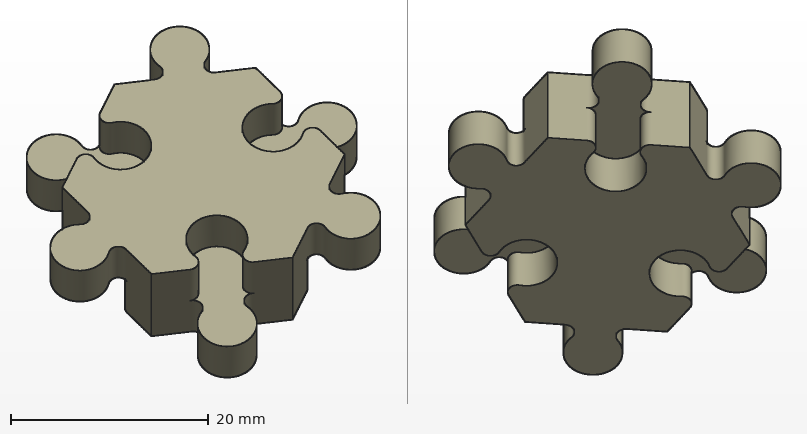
import cadquery as cq
import math

overall_length = 38.0
overall_height = 10.0
edge_distance = 12.5
knob_radius = 3.0
socket_radius = 3.1
neck_radius = 1.0

layer_height = overall_height / 2
head_depth = overall_length / 2 - knob_radius - edge_distance
hexagon_diameter = 2 * edge_distance / math.cos(math.radians(30))

upper_knob_angles = (30, 150, 270)
lower_knob_angles = (90, 210, 330)


def keyhole(radius, direction):
    """Round head on a flared neck, along X from a hexagon side at x = edge_distance.

    direction is 1 for a head outside the hexagon and -1 for one inside it.
    """
    centre_spacing = radius + neck_radius
    neck_offset = math.sqrt(centre_spacing**2 - (head_depth - neck_radius) ** 2)
    head_share = radius / centre_spacing
    meet_depth = head_depth + head_share * (neck_radius - head_depth)
    meet_offset = head_share * neck_offset
    head_angle = math.pi - math.atan2(head_depth - neck_radius, neck_offset)
    side_angle = 3 * math.pi / 2
    middle_angle = (head_angle + side_angle) / 2
    middle_depth = neck_radius + neck_radius * math.sin(middle_angle)
    middle_offset = neck_offset + neck_radius * math.cos(middle_angle)

    def point(depth, offset):
        return (edge_distance + direction * depth, offset)

    return (
        cq.Workplane("XY")
        .moveTo(*point(0, neck_offset))
        .threePointArc(point(middle_depth, middle_offset), point(meet_depth, meet_offset))
        .threePointArc(point(head_depth + radius, 0), point(meet_depth, -meet_offset))
        .threePointArc(point(middle_depth, -middle_offset), point(0, -neck_offset))
        .close()
        .extrude(layer_height)
    )


def layer(knob_angles):
    """Hexagonal layer with knobs at the given angles and sockets opposite them."""
    body = cq.Workplane("XY").polygon(6, hexagon_diameter).extrude(layer_height)
    knob = keyhole(knob_radius, 1)
    socket = keyhole(socket_radius, -1)
    for angle in knob_angles:
        body = body.union(knob.rotate((0, 0, 0), (0, 0, 1), angle))
        body = body.cut(socket.rotate((0, 0, 0), (0, 0, 1), angle + 180))
    return body


lower_layer = layer(lower_knob_angles)
upper_layer = layer(upper_knob_angles).translate((0, 0, layer_height))
result = lower_layer.union(upper_layer)